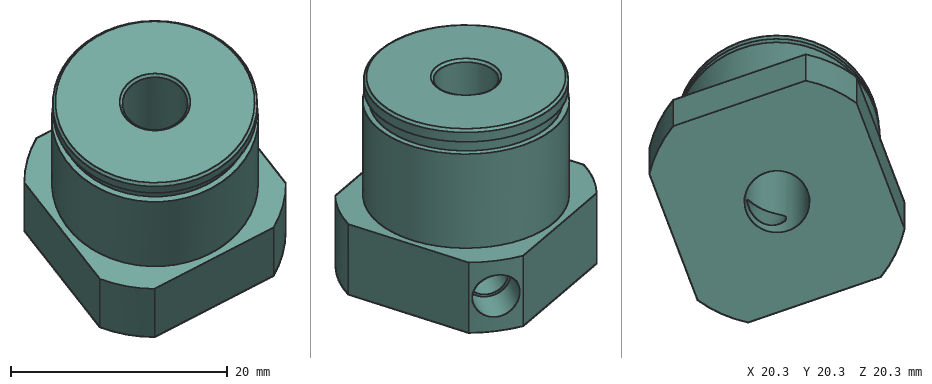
import cadquery as cq
import math

BASE_WIDTH = 20.32
OVERALL_HEIGHT = 20.32

BASE_HEIGHT = 7.62
CORNER_DIAMETER = 24.13

BODY_DIAMETER = 19.05
GROOVE_DIAMETER = 17.88
CAP_DIAMETER = 18.87
CAP_CHAMFER = 0.254
CAP_HEIGHT = 1.27
GROOVE_WIDTH = 1.27

BORE_DIAMETER = 6.0
BORE_CHAMFER = 0.254

SIDE_HOLE_DIAMETER = 4.5
SIDE_HOLE_DEPTH = 3.68
SIDE_PILOT_DIAMETER = 4.0
SIDE_HOLE_HEIGHT = BASE_HEIGHT / 2


def make_base():
    square = cq.Workplane("XY").rect(BASE_WIDTH, BASE_WIDTH).extrude(BASE_HEIGHT)
    corner_round = cq.Workplane("XY").circle(CORNER_DIAMETER / 2).extrude(BASE_HEIGHT)
    return square.intersect(corner_round)


def disc(diameter, bottom, top):
    return cq.Workplane("XY").workplane(offset=bottom).circle(diameter / 2).extrude(top - bottom)


def make_body():
    cap_bottom = OVERALL_HEIGHT - CAP_HEIGHT
    groove_bottom = cap_bottom - GROOVE_WIDTH
    cap = disc(CAP_DIAMETER, cap_bottom, OVERALL_HEIGHT).faces(">Z").chamfer(CAP_CHAMFER)
    groove_core = disc(GROOVE_DIAMETER, groove_bottom, cap_bottom)
    barrel = disc(BODY_DIAMETER, BASE_HEIGHT, groove_bottom)
    return barrel.union(groove_core).union(cap)


def make_bore():
    """Through bore with a 45 degree chamfer at its top edge."""
    bore_radius = BORE_DIAMETER / 2
    chamfer_cone = cq.Solid.makeCone(
        bore_radius,
        bore_radius + BORE_CHAMFER,
        BORE_CHAMFER,
        pnt=cq.Vector(0, 0, OVERALL_HEIGHT - BORE_CHAMFER),
    )
    return disc(BORE_DIAMETER, 0, OVERALL_HEIGHT).union(cq.Workplane(chamfer_cone))


def make_side_hole():
    """Hole along the diagonal, stepping down to a pilot that opens into the bore."""
    corner_radius = CORNER_DIAMETER / 2
    diagonal = math.sqrt(0.5)
    entry = cq.Vector(-corner_radius * diagonal, corner_radius * diagonal, SIDE_HOLE_HEIGHT)
    inward = cq.Vector(diagonal, -diagonal, 0)
    hole = cq.Solid.makeCylinder(SIDE_HOLE_DIAMETER / 2, SIDE_HOLE_DEPTH, entry, inward)
    pilot = cq.Solid.makeCylinder(SIDE_PILOT_DIAMETER / 2, corner_radius, entry, inward)
    return cq.Workplane(hole).union(cq.Workplane(pilot))


result = make_base().union(make_body()).cut(make_bore()).cut(make_side_hole())